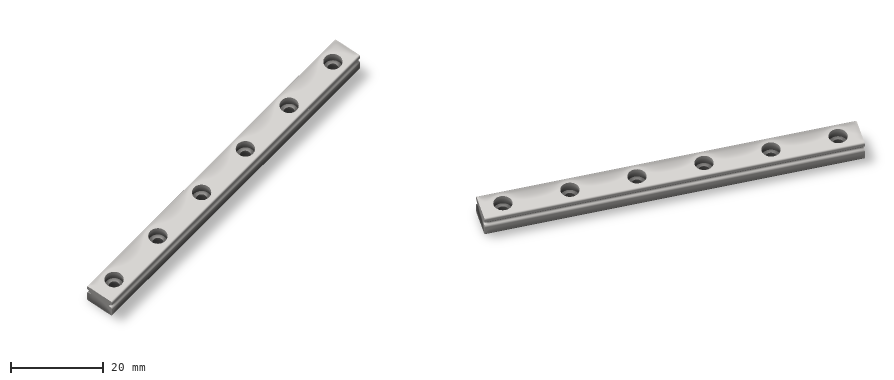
import cadquery as cq

length = 85.0
width = 7.0
height = 5.0
edge_radius = 0.3

groove_depth = 1.1
groove_top = 1.0
groove_floor_top = 1.6
groove_ledge = 2.1
lip_radius = 0.6
groove_floor_taper = 0.2

hole_count = 6
end_margin = 5.0
hole_pitch = (length - 2 * end_margin) / (hole_count - 1)
hole_diameter = 2.4
counterbore_diameter = 4.2
counterbore_depth = 2.3


def make_body():
    """Plain bar with its four long edges rounded."""
    bar = cq.Workplane("XY").box(width, length, height, centered=(True, True, False))
    return bar.edges("|Y").fillet(edge_radius)


def make_groove():
    """Cutter for the groove on the +X side, with a rounded lower lip."""
    side = width / 2
    floor = side - groove_depth
    ledge_level = height - groove_ledge
    return (
        cq.Workplane("XZ")
        .moveTo(side, height - groove_top)
        .lineTo(floor, height - groove_floor_top)
        .lineTo(floor + groove_floor_taper, ledge_level)
        .lineTo(side - lip_radius, ledge_level)
        .radiusArc((side, ledge_level - lip_radius), lip_radius)
        .close()
        .extrude(length / 2, both=True)
    )


def drill_holes(body):
    """Row of counterbored through holes down the middle of the top face."""
    first_y = -length / 2 + end_margin
    centres = [(0, first_y + i * hole_pitch) for i in range(hole_count)]
    top = body.faces(">Z").workplane(origin=(0, 0, height))
    return top.pushPoints(centres).cboreHole(hole_diameter, counterbore_diameter, counterbore_depth)


groove = make_groove()
grooved_body = make_body().cut(groove).cut(groove.mirror("YZ"))
result = drill_holes(grooved_body)